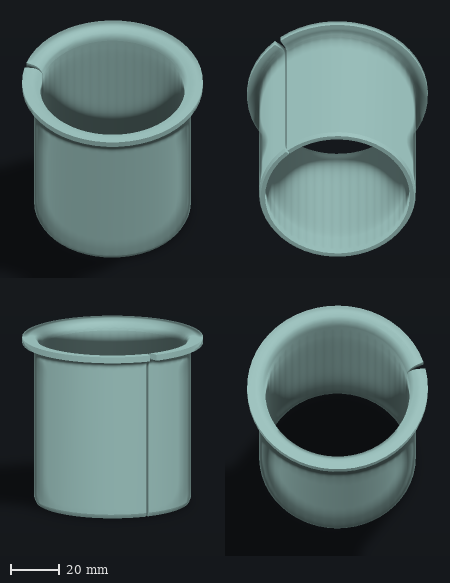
import cadquery as cq
import math

flange_diameter = 75.0
body_diameter = 65.0
bore_diameter = 60.0
height = 70.0
mouth_radius = 4.5
chamfer_height = 1.7
chamfer_inset = 0.75
slit_bore_gap = 0.3
slit_half_angle = 10.3

flange_radius = flange_diameter / 2
body_radius = body_diameter / 2
bore_radius = bore_diameter / 2
wall = body_radius - bore_radius
neck_radius = mouth_radius - wall
flange_underside = height - wall


def bushing_body():
    """Revolve the wall section, with X as radius and Y as height, about the Z axis."""
    arc_radius = bore_radius + mouth_radius
    arc_height = height - mouth_radius
    diagonal = math.sqrt(0.5)
    mouth_middle = (arc_radius - mouth_radius * diagonal, arc_height + mouth_radius * diagonal)
    neck_middle = (arc_radius - neck_radius * diagonal, arc_height + neck_radius * diagonal)
    return (
        cq.Workplane("XZ")
        .moveTo(bore_radius, 0)
        .lineTo(body_radius - chamfer_inset, 0)
        .lineTo(body_radius, chamfer_height)
        .lineTo(body_radius, arc_height)
        .threePointArc(neck_middle, (arc_radius, flange_underside))
        .lineTo(flange_radius, flange_underside)
        .lineTo(flange_radius, height)
        .lineTo(arc_radius, height)
        .threePointArc(mouth_middle, (bore_radius, arc_height))
        .close()
        .revolve(360, (0, 0, 0), (0, 1, 0))
        .rotate((0, 0, 0), (0, 0, 1), 180)
    )


def slit_cutter():
    """Wedge on the -X side that splits the wall over its full height."""
    overrun = 0.4
    slope = math.tan(math.radians(slit_half_angle))
    inner_x = bore_radius - overrun
    outer_x = flange_radius + overrun
    inner_half = slit_bore_gap / 2 - overrun * slope
    outer_half = inner_half + (outer_x - inner_x) * slope
    corners = [
        (-inner_x, -inner_half),
        (-inner_x, inner_half),
        (-outer_x, outer_half),
        (-outer_x, -outer_half),
    ]
    return cq.Workplane("XY").polyline(corners).close().extrude(height)


result = bushing_body().cut(slit_cutter())